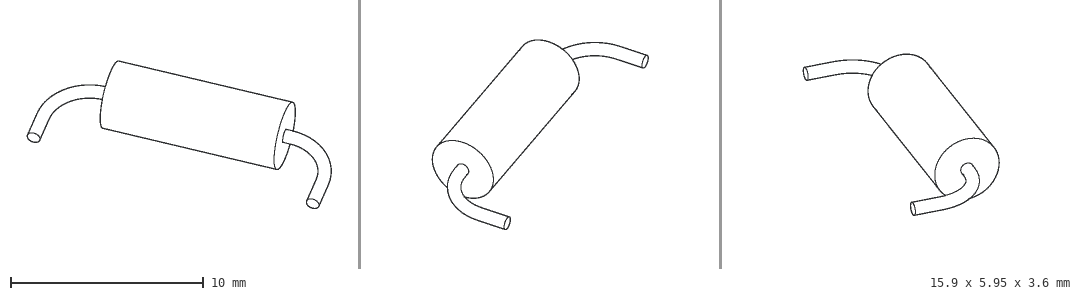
import cadquery as cq

span = 15.94
body_diameter = 3.6
body_length = 9.5
wire_diameter = 0.7
bend_radius = 2.53
lead_reach = 4.15

leg_x = (span - wire_diameter) / 2
bend_start_x = leg_x - bend_radius


def make_body():
    """Cylinder along X with a through hole for the wire."""
    return (
        cq.Workplane("YZ", origin=(-body_length / 2, 0, 0))
        .circle(body_diameter / 2)
        .circle(wire_diameter / 2)
        .extrude(body_length)
    )


def make_wire():
    """One round wire through the body, with both ends bent toward -Y."""
    path = (
        cq.Workplane("XY")
        .moveTo(-leg_x, -lead_reach)
        .lineTo(-leg_x, -bend_radius)
        .tangentArcPoint((-bend_start_x, 0), relative=False)
        .lineTo(bend_start_x, 0)
        .tangentArcPoint((leg_x, -bend_radius), relative=False)
        .lineTo(leg_x, -lead_reach)
    )
    return (
        cq.Workplane("XZ", origin=(-leg_x, -lead_reach, 0))
        .circle(wire_diameter / 2)
        .sweep(path)
    )


body = make_body()
wire = make_wire()

result = cq.Compound.makeCompound([body.val(), wire.val()])